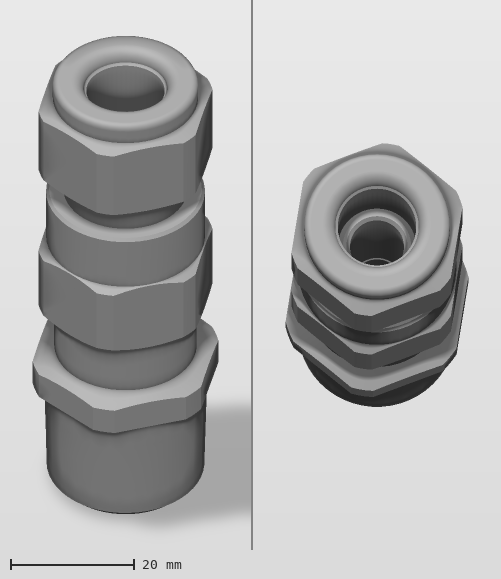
import cadquery as cq
import math

taper_start_z = 1.65
flange_bottom_z = 20.5
flange_top_z = 26.5
coupling_bottom_z = 36.3
coupling_hex_top_z = 49.5
neck_bottom_z = 59.4
cap_bottom_z = 64.9
cap_hex_top_z = 78.9
overall_height = 82.4

nut_flats = 26.1
nut_corner_radius = 14.3
nut_bevel_height = 0.8
flange_flats = 28.0
flange_corner_radius = 15.25
flange_bevel_height = 1.3

thread_top_radius = 13.3
thread_bottom_radius = 12.8
thread_tip_radius = thread_bottom_radius - taper_start_z
stem_radius = 11.5
entry_bore_radius = 4.1

collar_radius = 12.85
collar_chamfer = 0.5
neck_radius = 10.05
coupling_bore_radius = 4.4
crown_height = 0.7
crown_rim_radius = 5.5
crown_countersink_radius = 4.95

rim_radius = 11.8
rim_rounding = 1.1
cap_bore_radius = 6.35
mouth_lip_width = 0.4
mouth_lip_height = 0.3
mouth_rounding = 2.0


def cylinder(radius, bottom_z, top_z):
    """Cylinder on the Z axis between two levels."""
    return cq.Workplane("XY").workplane(offset=bottom_z).circle(radius).extrude(top_z - bottom_z)


def revolved(points):
    """Solid of revolution about Z from (radius, z) points."""
    return cq.Workplane("XZ").polyline(points).close().revolve(360, (0, 0), (0, 1))


def wrench_hexagon(flats, corner_radius, bottom_z, top_z, face_radius, bevel_height, bevel_bottom=True):
    """Hexagon with flats facing +X and -X and turned corners.

    Conical bevels run from the flat end face, which reaches face_radius, to the
    corners. The top is always bevelled, the bottom only on request.
    """
    prism = (
        cq.Workplane("XY")
        .workplane(offset=bottom_z)
        .polygon(6, flats / math.cos(math.pi / 6))
        .extrude(top_z - bottom_z)
        .rotate((0, 0, 0), (0, 0, 1), 90)
    )
    outline = [(corner_radius, top_z - bevel_height), (face_radius, top_z), (0, top_z), (0, bottom_z)]
    if bevel_bottom:
        outline += [(face_radius, bottom_z), (corner_radius, bottom_z + bevel_height)]
    else:
        outline += [(corner_radius, bottom_z)]
    return prism.intersect(revolved(outline))


def make_entry():
    """Tapered entry thread with its flange and the stem below the coupling."""
    thread = revolved([
        (0, 0),
        (thread_tip_radius, 0),
        (thread_bottom_radius, taper_start_z),
        (thread_top_radius, flange_bottom_z),
        (0, flange_bottom_z),
    ])
    flange = wrench_hexagon(
        flange_flats, flange_corner_radius, flange_bottom_z, flange_top_z,
        stem_radius, flange_bevel_height, bevel_bottom=False,
    )
    stem = cylinder(stem_radius, flange_top_z, coupling_bottom_z)
    bore = cylinder(entry_bore_radius, 0, coupling_bottom_z)
    return thread.union(flange).union(stem).cut(bore)


def make_coupling():
    """Middle nut with a collar, a neck and a crown that enters the cap bore."""
    hexagon = wrench_hexagon(
        nut_flats, nut_corner_radius, coupling_bottom_z, coupling_hex_top_z,
        collar_radius, nut_bevel_height,
    )
    collar = cylinder(collar_radius, coupling_hex_top_z, neck_bottom_z)
    collar = collar.faces(">Z").edges().chamfer(collar_chamfer)
    neck = cylinder(neck_radius, neck_bottom_z, cap_bottom_z)
    crown_top_z = cap_bottom_z + crown_height
    crown = revolved([
        (0, cap_bottom_z),
        (cap_bore_radius, cap_bottom_z),
        (crown_rim_radius, crown_top_z),
        (0, crown_top_z),
    ])
    countersink_depth = crown_countersink_radius - coupling_bore_radius
    bore = revolved([
        (0, coupling_bottom_z),
        (coupling_bore_radius, coupling_bottom_z),
        (coupling_bore_radius, crown_top_z - countersink_depth),
        (crown_countersink_radius, crown_top_z),
        (0, crown_top_z),
    ])
    return hexagon.union(collar).union(neck).union(crown).cut(bore)


def make_cap():
    """Cap nut with a rounded rim and a flared cable mouth."""
    hexagon = wrench_hexagon(
        nut_flats, nut_corner_radius, cap_bottom_z, cap_hex_top_z,
        rim_radius, nut_bevel_height,
    )
    rim = cylinder(rim_radius, cap_hex_top_z, overall_height)
    rim = rim.faces(">Z").edges().fillet(rim_rounding)

    lip_radius = cap_bore_radius + mouth_lip_width
    lip_top_z = overall_height - mouth_rounding
    mouth_radius = lip_radius + mouth_rounding
    arc_offset = mouth_rounding * math.sqrt(0.5)
    bore = (
        cq.Workplane("XZ")
        .moveTo(0, cap_bottom_z)
        .lineTo(cap_bore_radius, cap_bottom_z)
        .lineTo(cap_bore_radius, lip_top_z - mouth_lip_height)
        .lineTo(lip_radius, lip_top_z)
        .threePointArc((mouth_radius - arc_offset, lip_top_z + arc_offset), (mouth_radius, overall_height))
        .lineTo(0, overall_height)
        .close()
        .revolve(360, (0, 0), (0, 1))
    )
    return hexagon.union(rim).cut(bore)


entry = make_entry()
coupling = make_coupling()
cap = make_cap()

result = cq.Compound.makeCompound([entry.val(), coupling.val(), cap.val()])